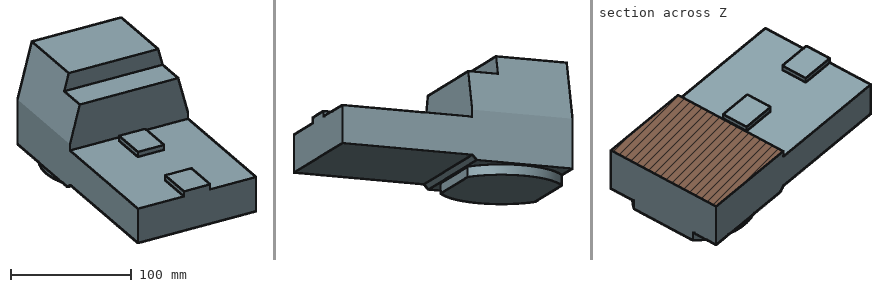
import cadquery as cq

length = 204.0
width = 112.0
height = 102.0

head_length = 89.0
head_bottom = 8.8
slope_start = 51.0
top_width = 84.9
step_start = 62.6
step_height = 86.0
bottom_chamfer = 4.0

plate_bottom = head_bottom + bottom_chamfer
plate_top = 45.3

pad_length = 31.8
pad_width = 24.9
pad_height = 4.7
pad_starts = (94.2, length - pad_length)

foot_diameter = 104.2
foot_length = 83.5


def box_between(x_start, x_end, y_size, z_start, z_end):
    """Box centred on Y, placed by its ends in X and Z."""
    return (
        cq.Workplane("XY")
        .box(x_end - x_start, y_size, z_end - z_start, centered=(False, True, False))
        .translate((x_start, 0, z_start))
    )


def make_head():
    half_width = width / 2
    half_top = top_width / 2
    end_outline = [
        (-half_width, head_bottom),
        (half_width, head_bottom),
        (half_width, slope_start),
        (half_top, height),
        (-half_top, height),
        (-half_width, slope_start),
    ]
    block = cq.Workplane("YZ").polyline(end_outline).close().extrude(head_length)
    block = block.cut(box_between(step_start, head_length, width, step_height, height))
    return block.faces("<Z").edges(">X").chamfer(bottom_chamfer)


def make_foot():
    disc = cq.Workplane("XY").center(foot_length / 2, 0).circle(foot_diameter / 2).extrude(head_bottom)
    return disc.intersect(box_between(0, foot_length, foot_diameter, 0, head_bottom))


plate = box_between(step_start, length, width, plate_bottom, plate_top)
result = make_head().union(plate).union(make_foot())

for pad_start in pad_starts:
    pad = box_between(pad_start, pad_start + pad_length, pad_width, plate_top, plate_top + pad_height)
    result = result.union(pad)